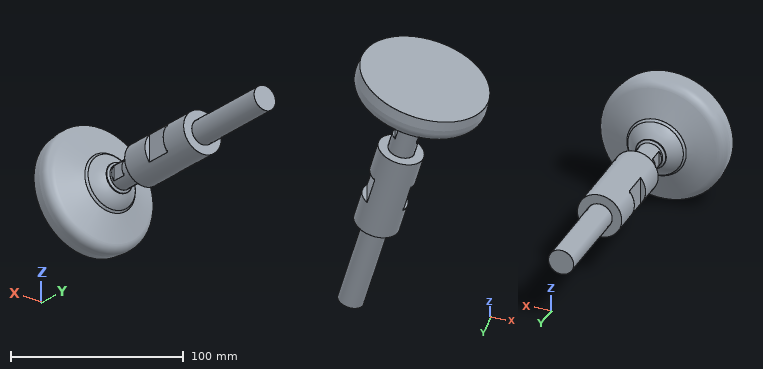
import cadquery as cq
import math

total_length = 166.5

foot_radius = 40.0
foot_base_radius = 39.1
rim_bottom = 6.3
rim_top = 9.2
shoulder_rounding = 6.8
lip_radius = 18.6
lip_height = 21.8
socket_edge_height = 23.3

rod_radius = 8.0
collar_radius = 9.5
collar_bottom = 30.3
collar_edge = 30.8
collar_top = 31.8
ball_radius = 21.0
ball_center = 11.7
rod_flat_offset = 6.3
rod_flat_bottom = 33.5
rod_flat_top = 43.0

sleeve_radius = 14.0
sleeve_bottom = 53.1
sleeve_top = 108.2
sleeve_flat_offset = 10.8
sleeve_flat_length = 17.0
sleeve_middle = (sleeve_bottom + sleeve_top) / 2
sleeve_flat_bottom = sleeve_middle - sleeve_flat_length / 2
sleeve_flat_top = sleeve_middle + sleeve_flat_length / 2


def ball_radius_at(height):
    """Radius of the ball's circular section at a height along Y."""
    return math.sqrt(ball_radius**2 - (height - ball_center) ** 2)


def ball_arc_middle(height):
    """Point on the ball midway along the arc from its equator to a height."""
    angle = math.asin((height - ball_center) / ball_radius) / 2
    return (ball_radius * math.cos(angle), ball_center + ball_radius * math.sin(angle))


def shoulder_tangent_point():
    """Point where the straight flank from the lip runs tangent into the rounded shoulder."""
    run = foot_radius - shoulder_rounding - lip_radius
    drop = lip_height - rim_top
    slope = math.acos(shoulder_rounding / math.hypot(run, drop)) - math.atan2(run, drop)
    return (
        foot_radius - shoulder_rounding * (1 - math.sin(slope)),
        rim_top + shoulder_rounding * math.cos(slope),
    )


def revolve_about_y(profile):
    return profile.close().revolve(360, (0, 0, 0), (0, 1, 0))


def cut_wrench_flats(body, body_radius, offset, bottom, top):
    """Cut two opposite flats, facing -X and +X, at the given distance from the axis."""
    depth = body_radius - offset
    for side in (-1, 1):
        cutter = cq.Workplane("XY").box(depth, top - bottom, 2 * body_radius)
        center_x = side * (offset + depth / 2)
        body = body.cut(cutter.translate((center_x, (bottom + top) / 2, 0)))
    return body


def make_foot():
    """Flared foot whose socket holds the ball from its equator up to the socket edge."""
    profile = (
        cq.Workplane("XY")
        .lineTo(foot_base_radius, 0)
        .lineTo(foot_radius, rim_bottom)
        .lineTo(foot_radius, rim_top)
        .tangentArcPoint(shoulder_tangent_point(), relative=False)
        .lineTo(lip_radius, lip_height)
        .lineTo(ball_radius_at(socket_edge_height), socket_edge_height)
        .threePointArc(ball_arc_middle(socket_edge_height), (ball_radius, ball_center))
        .lineTo(0, ball_center)
    )
    return revolve_about_y(profile)


def make_spindle():
    """Plain rod with a flared collar above a ball end that is cut flat at its equator."""
    profile = (
        cq.Workplane("XY")
        .moveTo(0, ball_center)
        .lineTo(ball_radius, ball_center)
        .threePointArc(ball_arc_middle(collar_bottom), (ball_radius_at(collar_bottom), collar_bottom))
        .lineTo(collar_radius, collar_edge)
        .lineTo(rod_radius, collar_top)
        .lineTo(rod_radius, total_length)
        .lineTo(0, total_length)
    )
    spindle = revolve_about_y(profile)
    return cut_wrench_flats(spindle, rod_radius, rod_flat_offset, rod_flat_bottom, rod_flat_top)


def make_sleeve():
    """Cylindrical sleeve around the rod, with a pair of wrench flats at mid length."""
    profile = (
        cq.Workplane("XY")
        .moveTo(rod_radius, sleeve_bottom)
        .lineTo(sleeve_radius, sleeve_bottom)
        .lineTo(sleeve_radius, sleeve_top)
        .lineTo(rod_radius, sleeve_top)
    )
    sleeve = revolve_about_y(profile)
    return cut_wrench_flats(
        sleeve, sleeve_radius, sleeve_flat_offset, sleeve_flat_bottom, sleeve_flat_top
    )


foot = make_foot()
spindle = make_spindle()
sleeve = make_sleeve()

result = cq.Compound.makeCompound([foot.val(), *spindle.solids().vals(), *sleeve.solids().vals()])